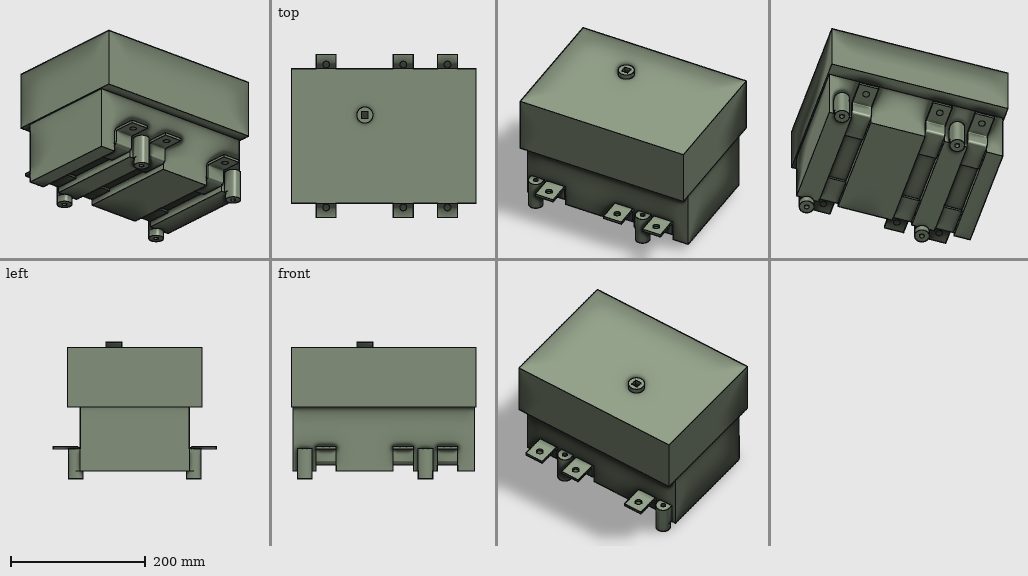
import cadquery as cq

base_bottom = 11.5
post_top = 45.0
cover_bottom = 106.5
cover_top = 195.0
boss_top = 203.0

base_length = 270.0
base_width = 162.0
cover_length = 274.0
cover_width = 200.0
base_face_y = base_width / 2

boss_x = -28.0
boss_y = 31.0
boss_diameter = 24.0
socket_side = 10.0
socket_depth = 20.0

post_xs = [-117.3, 62.0]
post_y = 87.5
post_diameter = 22.0
post_hole_diameter = 7.0

terminal_xs = [-85.5, 29.0, 94.5]
terminal_end_y = 121.0
terminal_width = 30.0
strip_thickness = 4.0
bend_inner_radius = 2.0
bend_outer_radius = bend_inner_radius + strip_thickness
flange_top = 48.0
tail_bottom = 20.4
tail_top = tail_bottom + strip_thickness
tail_length = 40.0
terminal_hole_diameter = 10.0
terminal_hole_y = 106.0
terminal_hole_floor = 0.2

sides = [1, -1]


def upright_cylinder(x, y, diameter, bottom, top):
    """Vertical cylinder between two heights."""
    return cq.Workplane("XY", origin=(x, y, bottom)).circle(diameter / 2).extrude(top - bottom)


def centred_block(x, y, length, width, bottom, top):
    """Upright block centred on (x, y) between two heights."""
    block = cq.Workplane("XY", origin=(x, y, bottom)).rect(length, width)
    return block.extrude(top - bottom)


def make_terminal_slot(x):
    """Channel across the underside of the base, its roof rounded at both ends to clear the bends."""
    channel = centred_block(x, 0, terminal_width, base_width, base_bottom, tail_top)
    relief_top = tail_top + bend_inner_radius
    for side in sides:
        corner = centred_block(
            x,
            side * (base_face_y - bend_inner_radius / 2),
            terminal_width,
            bend_inner_radius,
            tail_top,
            relief_top,
        )
        rounding = (
            cq.Workplane("YZ", origin=(x, 0, 0))
            .center(side * (base_face_y - bend_inner_radius), relief_top)
            .circle(bend_inner_radius)
            .extrude(terminal_width / 2, both=True)
        )
        channel = channel.union(corner.cut(rounding))
    return channel


def make_base():
    """Base block with its mounting posts, joined to it by square-backed lugs, and terminal slots."""
    base = centred_block(0, 0, base_length, base_width, base_bottom, cover_bottom)
    for side in sides:
        for x in post_xs:
            lug_depth = post_y - base_face_y
            lug_y = side * (base_face_y + lug_depth / 2)
            lug = centred_block(x, lug_y, post_diameter, lug_depth, base_bottom, post_top)
            post = upright_cylinder(x, side * post_y, post_diameter, 0, post_top)
            base = base.union(lug).union(post)
    for side in sides:
        for x in post_xs:
            base = base.cut(upright_cylinder(x, side * post_y, post_hole_diameter, 0, post_top))
    for x in terminal_xs:
        base = base.cut(make_terminal_slot(x))
    return base


def make_cover():
    """Cover block with the round drive boss and its square socket."""
    cover = centred_block(0, 0, cover_length, cover_width, cover_bottom, cover_top)
    boss = upright_cylinder(boss_x, boss_y, boss_diameter, cover_top, boss_top)
    socket = centred_block(
        boss_x, boss_y, socket_side, socket_side, boss_top - socket_depth, boss_top
    )
    return cover.union(boss).cut(socket)


def make_terminal(x, side):
    """Strip with a drilled flange outside, a leg against the base face and a tail inside the slot.

    The flange hole stops just short of the underside and leaves a thin floor.
    """
    leg_inner_y = base_face_y
    leg_outer_y = base_face_y + strip_thickness
    tail_end_y = base_face_y - tail_length
    flange_bottom = flange_top - strip_thickness
    profile = [
        (terminal_end_y, flange_top),
        (leg_inner_y, flange_top),
        (leg_inner_y, tail_top),
        (tail_end_y, tail_top),
        (tail_end_y, tail_bottom),
        (leg_outer_y, tail_bottom),
        (leg_outer_y, flange_bottom),
        (terminal_end_y, flange_bottom),
    ]
    outer_corners = [(leg_inner_y, flange_top), (leg_outer_y, tail_bottom)]
    inner_corners = [(leg_outer_y, flange_bottom), (leg_inner_y, tail_top)]
    strip = (
        cq.Workplane("YZ", origin=(x, 0, 0))
        .polyline([(side * y, z) for y, z in profile])
        .close()
        .extrude(terminal_width / 2, both=True)
    )
    for corners, radius in [(outer_corners, bend_outer_radius), (inner_corners, bend_inner_radius)]:
        for y, z in corners:
            bend_edge = cq.selectors.NearestToPointSelector((x, side * y, z))
            strip = strip.edges("|X").edges(bend_edge).fillet(radius)
    hole_bottom = flange_bottom + terminal_hole_floor
    hole = upright_cylinder(x, side * terminal_hole_y, terminal_hole_diameter, hole_bottom, flange_top)
    return strip.cut(hole)


base = make_base()
cover = make_cover()
terminals = [make_terminal(x, side) for x in terminal_xs for side in sides]

result = cq.Compound.makeCompound(
    [base.val(), cover.val(), *[terminal.val() for terminal in terminals]]
)